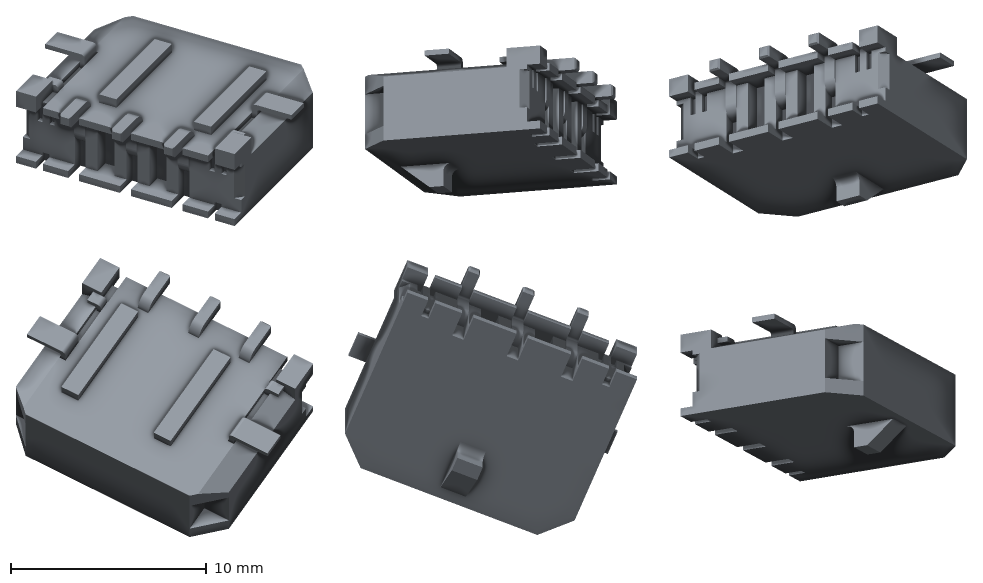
import cadquery as cq
import math


body_width = 12.67
body_length = 9.88
body_top = 3.8
half_width = body_width / 2
wall_front = 0.72
floor_flange_top = 0.41
top_flange_bottom = 3.4
shoulder = 1.8
mount_top = 4.36

flat_half_width = 5.19
slope_edge_height = 3.36
corner_cut = 1.46
corner_notch_bottom = 0.77
corner_notch_top = 2.87

groove_inner = 4.79
groove_floor = 3.63
rear_groove_inner = 4.82
rear_groove_floor = 3.52
groove_end = 5.99
notch_height = 0.59
notch_depth = 0.21

bevel_width = 0.43
bevel_depth = 0.4
bevel_bottom = 1.17
bevel_top = 3.17
recess_width = 0.3
recess_bottom = 2.42
recess_depth = 0.29
channel_width = 0.99
channel_depth = 0.83

pin_pitch = 3.0
pin_width = 0.63
pin_back = 1.33
stem_depth = 0.7
foot_thickness = 0.63
pin_inner_radius = 0.1
pin_outer_radius = stem_depth
pin_front = pin_back - stem_depth
pin_bottom = 1.7
pin_tip = -0.95
pin_tip_chamfer = 0.09
pin_positions = [-pin_pitch, 0, pin_pitch]

hook_span = 14.3
hook_face = 4.86
hook_thickness = 0.27
hook_outer_radius = 0.21
hook_inner_radius = 0.15
hook_start = 4.63
hook_width = 1.3
tab_reach = 5.68
tab_width = 0.59
tab_top = mount_top - hook_thickness

rib_width = 1.0
rib_end = 7.78
rib_top = 4.3
rib_left_edges = [-2.49, 3.0]

latch_width = 1.4
latch_depth = 1.19
latch_ramp_start = 9.31
latch_ramp_end = 7.78
latch_front = 7.04
latch_fillet = 0.41


def box(x0, x1, y0, y1, z0, z1):
    return cq.Workplane("XY").box(x1 - x0, y1 - y0, z1 - z0, centered=False).translate((x0, y0, z0))


def both_sides(shape):
    return shape.union(shape.mirror("YZ"))


def housing_shell():
    """Housing with sloped sides, cut rear corners, corner blocks and a recessed front wall."""
    section = [
        (-half_width, 0),
        (half_width, 0),
        (half_width, slope_edge_height),
        (flat_half_width, body_top),
        (-flat_half_width, body_top),
        (-half_width, slope_edge_height),
    ]
    shell = cq.Workplane("XZ").polyline(section).close().extrude(-body_length)
    corner = (
        cq.Workplane("XY")
        .polyline([
            (half_width, body_length),
            (half_width - corner_cut, body_length),
            (half_width, body_length - corner_cut),
        ])
        .close()
        .extrude(body_top)
    )
    notch = box(
        half_width - corner_cut, half_width,
        body_length - corner_cut, body_length,
        corner_notch_bottom, corner_notch_top,
    )
    block = box(flat_half_width, half_width, 0, shoulder, slope_edge_height, mount_top)
    gap = box(-half_width, half_width, 0, wall_front, floor_flange_top, top_flange_bottom)
    return shell.cut(both_sides(corner)).cut(both_sides(notch)).union(both_sides(block)).cut(gap)


def hook_grooves():
    """Stepped top groove per solder hook, its split through the flanges and a notch in the wall foot."""
    groove = box(groove_inner, flat_half_width, 0, shoulder, groove_floor, body_top)
    rear_groove = box(
        rear_groove_inner, flat_half_width,
        shoulder, groove_end,
        rear_groove_floor, body_top,
    )
    split = box(groove_inner, flat_half_width, 0, wall_front, 0, body_top)
    notch = box(groove_inner, flat_half_width, 0, wall_front + notch_depth, 0, notch_height)
    return both_sides(groove.union(rear_groove).union(split).union(notch))


def wall_recesses():
    """Small recesses flanking each groove, and the beveled upright edges of the front wall."""
    recess_end = wall_front + recess_depth
    cutters = box(
        groove_inner - recess_width, groove_inner,
        wall_front, recess_end,
        recess_bottom, top_flange_bottom,
    )
    cutters = cutters.union(box(
        flat_half_width, flat_half_width + recess_width,
        wall_front, recess_end,
        recess_bottom, top_flange_bottom,
    ))
    bevel = (
        cq.Workplane("XY", origin=(0, 0, bevel_bottom))
        .polyline([
            (half_width, wall_front),
            (half_width - bevel_width, wall_front),
            (half_width, wall_front + bevel_depth),
        ])
        .close()
        .extrude(bevel_top - bevel_bottom)
    )
    return both_sides(cutters.union(bevel))


def channels():
    """Upright channel halfway between neighboring pins."""
    channel = box(
        (pin_pitch - channel_width) / 2, (pin_pitch + channel_width) / 2,
        wall_front, wall_front + channel_depth,
        floor_flange_top, top_flange_bottom,
    )
    return both_sides(channel)


def pin_slot(x):
    return box(x - pin_width / 2, x + pin_width / 2, 0, pin_back, 0, body_top)


def pin(x):
    """Square pin rising in its slot and bending forward into a solder foot."""
    foot_bottom = mount_top - foot_thickness
    arc_offset = pin_outer_radius * math.sqrt(0.5)
    lower_center = (pin_front + pin_outer_radius, pin_bottom + pin_outer_radius)
    upper_center = (pin_back - pin_outer_radius, mount_top - pin_outer_radius)
    stem = (
        cq.Workplane("YZ")
        .moveTo(pin_tip, foot_bottom)
        .lineTo(pin_front - pin_inner_radius, foot_bottom)
        .radiusArc((pin_front, foot_bottom - pin_inner_radius), pin_inner_radius)
        .lineTo(pin_front, lower_center[1])
        .threePointArc(
            (lower_center[0] - arc_offset, lower_center[1] - arc_offset),
            (lower_center[0], pin_bottom),
        )
        .lineTo(pin_back, upper_center[1])
        .threePointArc(
            (upper_center[0] + arc_offset, upper_center[1] + arc_offset),
            (upper_center[0], mount_top),
        )
        .lineTo(pin_tip, mount_top)
        .close()
        .extrude(pin_width / 2, both=True)
    )
    return stem.faces("<Y").chamfer(pin_tip_chamfer).translate((x, 0, 0))


def hook(reach, top, start, width):
    """Bent strip standing in a groove and folding outward at the given height."""
    outline = [
        (hook_face, rear_groove_floor),
        (hook_face + hook_thickness, rear_groove_floor),
        (hook_face + hook_thickness, top - hook_thickness),
        (reach, top - hook_thickness),
        (reach, top),
        (hook_face, top),
    ]
    strip = cq.Workplane("XZ", origin=(0, start, 0)).polyline(outline).close().extrude(-width)
    inner_corner = (hook_face + hook_thickness, start + width / 2, top - hook_thickness)
    outer_corner = (hook_face, start + width / 2, top)
    strip = strip.edges(cq.selectors.NearestToPointSelector(outer_corner)).fillet(hook_outer_radius)
    strip = strip.edges(cq.selectors.NearestToPointSelector(inner_corner)).fillet(hook_inner_radius)
    return both_sides(strip)


def rib(left):
    return box(left, left + rib_width, shoulder, rib_end, body_top, rib_top)


def latch():
    """Locking ramp under the housing with a filleted root on its steep side."""
    arc_offset = latch_fillet * (1 - math.sqrt(0.5))
    return (
        cq.Workplane("YZ")
        .moveTo(latch_ramp_start, 0)
        .lineTo(latch_ramp_end, -latch_depth)
        .lineTo(latch_front, -latch_depth)
        .lineTo(latch_front, -latch_fillet)
        .threePointArc(
            (latch_front - arc_offset, -arc_offset),
            (latch_front - latch_fillet, 0),
        )
        .close()
        .extrude(latch_width / 2, both=True)
    )


result = housing_shell().cut(hook_grooves()).cut(wall_recesses()).cut(channels())
for x in pin_positions:
    result = result.cut(pin_slot(x)).union(pin(x))
for left in rib_left_edges:
    result = result.union(rib(left))
result = result.union(hook(hook_span / 2, mount_top, hook_start, hook_width))
result = result.union(hook(tab_reach, tab_top, shoulder, tab_width))
result = result.union(latch())